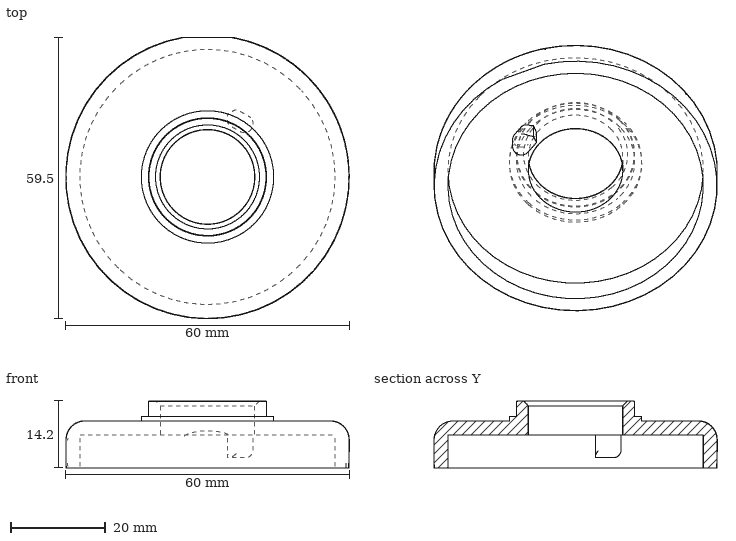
import cadquery as cq
import math

body_radius = 30.0
body_height = 10.0
shoulder_radius = 4.0
foot_height = 1.0
foot_inset = 0.09
flat_y = 29.5

collar_radius = 28.0 / 2
collar_top = 11.0
neck_radius = 25.0 / 2
neck_top = 14.2
neck_chamfer = 0.1
bore_radius = 20.0 / 2
bore_chamfer = 1.0

wall = 3.0
cavity_radius = body_radius - wall
ceiling_z = body_height - wall

peg_angle = 60.0
peg_distance = 13.6
peg_half_width = 1.85
peg_round_end = 1.15
peg_shoulder = 1.9
peg_nose_angle = 60.0
peg_corner_radius = 1.4
peg_bottom = 2.2
peg_tip_fillet = 1.6
peg_top = ceiling_z + wall / 2


def make_body():
    """Revolved shell: domed cover, stepped neck, bore and cavity."""
    shoulder_z = body_height - shoulder_radius
    diagonal = shoulder_radius * math.sqrt(0.5)
    foot_arc_radius = (foot_height**2 + foot_inset**2) / (2 * foot_inset)
    profile = (
        cq.Workplane("XZ")
        .moveTo(cavity_radius, 0)
        .lineTo(body_radius - foot_inset, 0)
        .radiusArc((body_radius, foot_height), -foot_arc_radius)
        .lineTo(body_radius, shoulder_z)
        .threePointArc(
            (body_radius - shoulder_radius + diagonal, shoulder_z + diagonal),
            (body_radius - shoulder_radius, body_height),
        )
        .lineTo(collar_radius, body_height)
        .lineTo(collar_radius, collar_top)
        .lineTo(neck_radius, collar_top)
        .lineTo(neck_radius, neck_top - neck_chamfer)
        .lineTo(neck_radius - neck_chamfer, neck_top)
        .lineTo(bore_radius + bore_chamfer, neck_top)
        .lineTo(bore_radius, neck_top - bore_chamfer)
        .lineTo(bore_radius, ceiling_z)
        .lineTo(cavity_radius, ceiling_z)
        .close()
    )
    return profile.revolve(360, (0, 0, 0), (0, 1, 0))


def cut_side_flat(body):
    """Trim the rim to a narrow flat on the +Y side."""
    depth = body_radius - flat_y
    cutter = cq.Workplane("XY").box(
        2 * body_radius, depth, body_height, centered=(True, False, False)
    )
    return body.cut(cutter.translate((0, flat_y, 0)))


def make_peg():
    """Tangential peg: one round end, one pointed nose, and a rounded tip that stops at the nose faces.

    It is built around the +X axis, with its length along Y, and then turned to its place.
    """
    nose_length = peg_half_width / math.tan(math.radians(peg_nose_angle))
    nose_tip = peg_shoulder + nose_length
    peg_height = peg_top - peg_bottom
    base = cq.Workplane("XY", origin=(peg_distance, 0, peg_bottom))

    bar_start = nose_tip + peg_half_width
    bar = (
        base.moveTo(-peg_half_width, bar_start)
        .lineTo(-peg_half_width, -peg_round_end)
        .threePointArc((0, -peg_round_end - peg_half_width), (peg_half_width, -peg_round_end))
        .lineTo(peg_half_width, bar_start)
        .close()
        .extrude(peg_height)
        .faces("<Z")
        .edges("not >Y")
        .fillet(peg_tip_fillet)
    )

    shoulder_zone = cq.selectors.BoxSelector(
        (peg_distance - bar_start, peg_shoulder - nose_length / 2, peg_bottom),
        (peg_distance + bar_start, peg_shoulder + nose_length / 2, peg_top),
    )
    envelope_end = -peg_round_end - 2 * peg_half_width
    envelope = (
        base.polyline(
            [
                (-peg_half_width, envelope_end),
                (-peg_half_width, peg_shoulder),
                (0, nose_tip),
                (peg_half_width, peg_shoulder),
                (peg_half_width, envelope_end),
            ]
        )
        .close()
        .extrude(peg_height)
        .edges("|Z")
        .edges(shoulder_zone)
        .fillet(peg_corner_radius)
    )
    return bar.intersect(envelope).rotate((0, 0, 0), (0, 0, 1), peg_angle)


result = cut_side_flat(make_body()).union(make_peg())